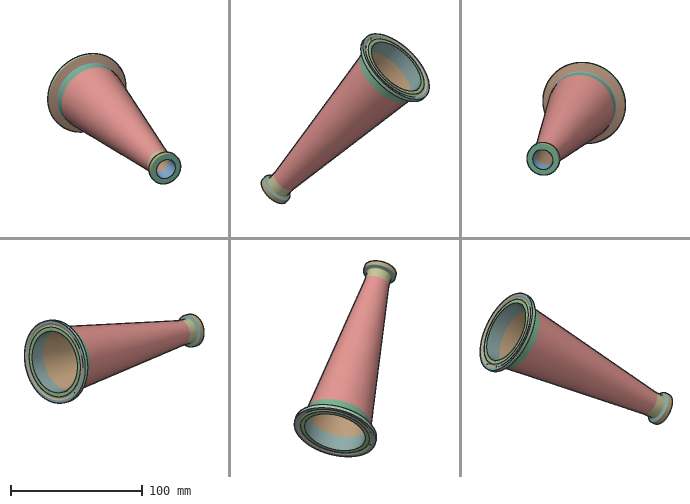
import cadquery as cq
import math

LENGTH = 152.4
FERRULE_LENGTH = 12.6
BACK_ANGLE = 20.0
RIM_FILLET = 0.5

LARGE_FLANGE_DIAMETER = 63.9
LARGE_TUBE_DIAMETER = 50.7
LARGE_BORE_DIAMETER = 47.5
LARGE_FLANGE_DEPTH = 5.3
LARGE_NECK_FILLET = 0.9

SMALL_FLANGE_DIAMETER = 25.0
SMALL_TUBE_DIAMETER = 19.0
SMALL_BORE_DIAMETER = 15.7
SMALL_FLANGE_DEPTH = 5.2
SMALL_NECK_FILLET = 0.5

GROOVE_DIAMETER = 56.4
GROOVE_ARC_RADIUS = 1.5
GROOVE_DEPTH = 0.8
GROOVE_LIP_FILLET = 0.8


def revolve_about_x(profile):
    """Turn a profile drawn in (x, radius) around the X axis."""
    return profile.close().revolve(360, (0, 0, 0), (1, 0, 0))


def circles_at(x):
    """Select the circular edges centred on the axis at x."""
    half_size = 0.02
    return cq.selectors.BoxSelector(
        (x - half_size, -half_size, -half_size),
        (x + half_size, half_size, half_size),
    )


def cone_between_ferrules(large_diameter, small_diameter):
    """Solid cone spanning the gap between the two ferrules."""
    return revolve_about_x(
        cq.Workplane("XY")
        .moveTo(FERRULE_LENGTH, 0)
        .lineTo(FERRULE_LENGTH, large_diameter / 2)
        .lineTo(LENGTH - FERRULE_LENGTH, small_diameter / 2)
        .lineTo(LENGTH - FERRULE_LENGTH, 0)
    )


def bore_core(large_diameter, small_diameter):
    """Full-length core: a cone with a straight cylinder at each end."""
    return revolve_about_x(
        cq.Workplane("XY")
        .lineTo(0, large_diameter / 2)
        .lineTo(FERRULE_LENGTH, large_diameter / 2)
        .lineTo(LENGTH - FERRULE_LENGTH, small_diameter / 2)
        .lineTo(LENGTH, small_diameter / 2)
        .lineTo(LENGTH, 0)
    )


def ferrule(flange_diameter, tube_diameter, flange_depth, neck_fillet):
    """Solid ferrule with its end face at X = 0 and its tube along +X."""
    flange_radius = flange_diameter / 2
    tube_radius = tube_diameter / 2
    back_depth = (flange_radius - tube_radius) * math.tan(math.radians(BACK_ANGLE))
    rim_width = flange_depth - back_depth
    body = revolve_about_x(
        cq.Workplane("XY")
        .lineTo(0, flange_radius)
        .lineTo(rim_width, flange_radius)
        .lineTo(flange_depth, tube_radius)
        .lineTo(FERRULE_LENGTH, tube_radius)
        .lineTo(FERRULE_LENGTH, 0)
    )
    body = body.edges(circles_at(flange_depth)).fillet(neck_fillet)
    return body.edges(circles_at(rim_width)).fillet(RIM_FILLET)


def cut_gasket_groove(body):
    """Cut the ring groove in the face at X = 0 and round its outer lip."""
    middle_radius = GROOVE_DIAMETER / 2
    half_width = math.sqrt(GROOVE_DEPTH * (2 * GROOVE_ARC_RADIUS - GROOVE_DEPTH))
    ring = revolve_about_x(
        cq.Workplane("XY")
        .moveTo(0, middle_radius - half_width)
        .threePointArc((GROOVE_DEPTH, middle_radius), (0, middle_radius + half_width))
    )
    grooved = body.cut(ring)
    lip = cq.selectors.RadiusNthSelector(-2)
    return grooved.edges(circles_at(0)).edges(lip).fillet(GROOVE_LIP_FILLET)


large_end = cut_gasket_groove(
    ferrule(LARGE_FLANGE_DIAMETER, LARGE_TUBE_DIAMETER, LARGE_FLANGE_DEPTH, LARGE_NECK_FILLET)
)

small_end = (
    ferrule(SMALL_FLANGE_DIAMETER, SMALL_TUBE_DIAMETER, SMALL_FLANGE_DEPTH, SMALL_NECK_FILLET)
    .edges(circles_at(0))
    .fillet(RIM_FILLET)
    .mirror("YZ")
    .translate((LENGTH, 0, 0))
)

cone = cone_between_ferrules(LARGE_TUBE_DIAMETER, SMALL_TUBE_DIAMETER)
bore = bore_core(LARGE_BORE_DIAMETER, SMALL_BORE_DIAMETER)

result = cone.union(large_end).union(small_end).cut(bore)